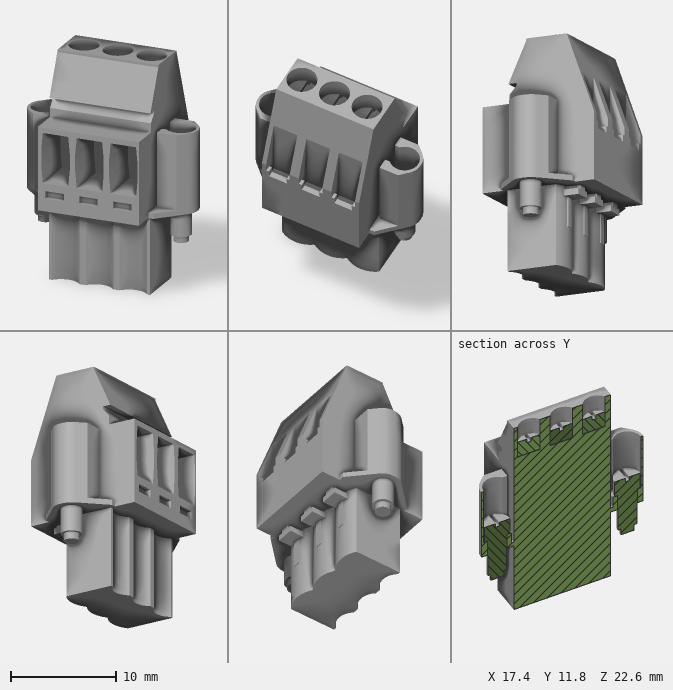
import cadquery as cq


POLE_COUNT = 3
PITCH = 3.5
POLE_CENTRES = [PITCH * (i - (POLE_COUNT - 1) / 2) for i in range(POLE_COUNT)]
SIDES = (-1, 1)
TERMINAL_SHIFT = 0.11

HALF_WIDTH = 5.22
FRONT_Y = -6.0
REAR_Y = 5.83
TOP_Z = 14.67
TOP_FRONT_Y = -1.35
TOP_REAR_Y = 2.94
TOP_LIP = 0.23
REAR_KNEE_Z = 6.7
SHELF_Z = 8.45
SHELF_REAR_Y = -3.1
GROOVE_Y = -2.4
GROOVE_LOW_Z = 9.38
GROOVE_MID_Z = 10.12
GROOVE_TOP_Z = 10.42
OVERHANG_Y = -3.23

ENTRY_LOW_Z = 2.82
ENTRY_HIGH_Z = 7.9
ENTRY_END_WIDTH = 2.62
ENTRY_MID_WIDTH = 2.98
ENTRY_DEPTH = 4.52
WINDOW_WIDTH = 1.95
WINDOW_LOW_Z = 1.29
WINDOW_HIGH_Z = 2.05
WINDOW_DEPTH = 0.55

POCKET_WIDTH = 2.53
POCKET_DEPTH = 1.54
POCKET_FLOOR_Z = 4.52
SILL_THICKNESS = 0.59
SILL_Z = 5.88
SILL_GAP_WIDTH = 1.9
SILL_GAP_Z = 5.2

PLUG_HEIGHT = 7.93
PLUG_FRONT_Y = -3.32
PLUG_REAR_Y = 2.33
LOBE_WIDTH = 2 * (HALF_WIDTH - PITCH)
LOBE_DEPTH = 0.55
SCALLOP_WIDTH = 2.85
SCALLOP_DEPTH = 0.68
RIB_WIDTH = 0.68
RIB_THICKNESS = 0.1
RIB_BOTTOM_Z = -3.89
LATCH_REAR_Y = 3.77
LATCH_NECK_WIDTH = 0.9
LATCH_NECK_HEIGHT = 0.38
LATCH_HOOK_WIDTH = 1.8
LATCH_HEIGHT = 1.0

FLANGE_END_X = 8.72
FLANGE_SCREW_X = 2 * PITCH
FLANGE_HALF_LENGTH = 3.77
FLANGE_TIP_HALF_LENGTH = 0.8
FLANGE_TIP_RADIUS = 1.63
PLATE_THICKNESS = 0.55
TOWER_INNER_X = 5.42
TOWER_HALF_LENGTH = 2.1
TOWER_HEIGHT = 8.14
FLANGE_BORE_RADIUS = 1.45
TOWER_SLOT_WIDTH = 1.97
FLANGE_SEAT_Z = 1.8

TERMINAL_SCREW_Y = 0.8
TERMINAL_SCREW_RADIUS = 1.47
TERMINAL_SCREW_TOP_Z = 12.8
TERMINAL_SCREW_HEIGHT = 1.8
DRIVER_SLOT_WIDTH = 0.38
DRIVER_SLOT_DEPTH = 0.45
FLANGE_HEAD_RADIUS = 1.4
FLANGE_HEAD_HEIGHT = 1.8
SHANK_RADIUS = 1.05
SHANK_BOTTOM_Z = -2.58
SCREW_TIP_RADIUS = 0.75
SCREW_TIP_Z = -3.28


def block(x_range, y_range, z_range):
    """Box between two limits along each axis."""
    (x0, x1), (y0, y1), (z0, z1) = x_range, y_range, z_range
    return cq.Workplane("XY").box(x1 - x0, y1 - y0, z1 - z0, centered=False).translate((x0, y0, z0))


def pole_block(x, width, y_range, z_range):
    """Box centred on x along X."""
    return block((x - width / 2, x + width / 2), y_range, z_range)


def upright_cylinder(x, y, radius, z0, z1):
    return cq.Workplane("XY", origin=(x, y, z0)).circle(radius).extrude(z1 - z0)


def housing_block():
    """Constant side profile swept over the full width."""
    profile = [
        (FRONT_Y, 0),
        (FRONT_Y, SHELF_Z),
        (SHELF_REAR_Y, SHELF_Z),
        (SHELF_REAR_Y, GROOVE_LOW_Z),
        (GROOVE_Y, GROOVE_MID_Z),
        (GROOVE_Y, GROOVE_TOP_Z),
        (OVERHANG_Y, GROOVE_TOP_Z),
        (TOP_FRONT_Y, TOP_Z - TOP_LIP),
        (TOP_FRONT_Y, TOP_Z),
        (TOP_REAR_Y, TOP_Z),
        (REAR_Y, REAR_KNEE_Z),
        (REAR_Y, 0),
    ]
    return cq.Workplane("YZ").polyline(profile).close().extrude(HALF_WIDTH, both=True)


def wire_entry(x):
    """Blind opening in the front face with bowed sides."""
    end, mid = ENTRY_END_WIDTH / 2, ENTRY_MID_WIDTH / 2
    mid_z = (ENTRY_LOW_Z + ENTRY_HIGH_Z) / 2
    return (
        cq.Workplane("XZ", origin=(x, FRONT_Y, 0))
        .moveTo(-end, ENTRY_LOW_Z)
        .lineTo(end, ENTRY_LOW_Z)
        .threePointArc((mid, mid_z), (end, ENTRY_HIGH_Z))
        .lineTo(-end, ENTRY_HIGH_Z)
        .threePointArc((-mid, mid_z), (-end, ENTRY_LOW_Z))
        .close()
        .extrude(-ENTRY_DEPTH)
    )


def window(x):
    return pole_block(x, WINDOW_WIDTH, (FRONT_Y, FRONT_Y + WINDOW_DEPTH), (WINDOW_LOW_Z, WINDOW_HIGH_Z))


def rear_pocket(x):
    """Pocket sunk into the rear slope, leaving a low notched sill at the rear face."""
    sill_y = REAR_Y - SILL_THICKNESS
    well = pole_block(x, POCKET_WIDTH, (REAR_Y - POCKET_DEPTH, sill_y), (POCKET_FLOOR_Z, TOP_Z))
    above_sill = pole_block(x, POCKET_WIDTH, (sill_y, REAR_Y), (SILL_Z, TOP_Z))
    sill_gap = pole_block(x, SILL_GAP_WIDTH, (sill_y, REAR_Y), (SILL_GAP_Z, TOP_Z))
    return well.union(above_sill).union(sill_gap)


def plug_arc_column(x, base_y, width, rise):
    """Full-height plug column whose section is a circular segment rising toward +Y from base_y."""
    half = width / 2
    return (
        cq.Workplane("XY", origin=(x, base_y, -PLUG_HEIGHT))
        .moveTo(-half, 0)
        .threePointArc((0, rise), (half, 0))
        .close()
        .extrude(PLUG_HEIGHT)
    )


def rear_rib_and_latch(x):
    """Short rib on the crown of a lobe, with a T-shaped latch above it."""
    root_y = PLUG_REAR_Y - LOBE_DEPTH
    rib = pole_block(x, RIB_WIDTH, (root_y, PLUG_REAR_Y + RIB_THICKNESS), (RIB_BOTTOM_Z, 0))
    neck = pole_block(x, LATCH_NECK_WIDTH, (root_y, LATCH_REAR_Y), (-LATCH_NECK_HEIGHT, 0))
    hook = pole_block(x, LATCH_HOOK_WIDTH, (root_y, LATCH_REAR_Y), (-LATCH_HEIGHT, -LATCH_NECK_HEIGHT))
    return rib.union(neck).union(hook)


def plug():
    """Lower plug with a front scallop, a rear lobe and a latch for every pole."""
    lobe_base_y = PLUG_REAR_Y - LOBE_DEPTH
    body = block((-HALF_WIDTH, HALF_WIDTH), (PLUG_FRONT_Y, lobe_base_y), (-PLUG_HEIGHT, 0))
    for x in POLE_CENTRES:
        body = body.cut(plug_arc_column(x, PLUG_FRONT_Y, SCALLOP_WIDTH, SCALLOP_DEPTH))
        body = body.union(plug_arc_column(x, lobe_base_y, LOBE_WIDTH, LOBE_DEPTH))
        body = body.union(rear_rib_and_latch(x))
    return body


def flange(side):
    """Plate with a slotted tower; only the screw shank passes below the seat in the tower."""
    corner_x = FLANGE_END_X - (FLANGE_HALF_LENGTH - FLANGE_TIP_HALF_LENGTH)
    outline = [
        (HALF_WIDTH, -FLANGE_HALF_LENGTH),
        (corner_x, -FLANGE_HALF_LENGTH),
        (FLANGE_END_X, -FLANGE_TIP_HALF_LENGTH),
        (FLANGE_END_X, FLANGE_TIP_HALF_LENGTH),
        (corner_x, FLANGE_HALF_LENGTH),
        (HALF_WIDTH, FLANGE_HALF_LENGTH),
    ]
    body = cq.Workplane("XY").polyline(outline).close().extrude(TOWER_HEIGHT)
    body = body.edges("|Z and >X").fillet(FLANGE_TIP_RADIUS)
    plate = block(
        (HALF_WIDTH, FLANGE_END_X), (-FLANGE_HALF_LENGTH, FLANGE_HALF_LENGTH), (0, PLATE_THICKNESS)
    )
    tower = block(
        (TOWER_INNER_X, FLANGE_END_X), (-TOWER_HALF_LENGTH, TOWER_HALF_LENGTH), (0, TOWER_HEIGHT)
    )
    slot = block(
        (TOWER_INNER_X, FLANGE_SCREW_X),
        (-TOWER_SLOT_WIDTH / 2, TOWER_SLOT_WIDTH / 2),
        (FLANGE_SEAT_Z, TOWER_HEIGHT),
    )
    body = body.intersect(plate.union(tower)).cut(slot)
    body = body.cut(upright_cylinder(FLANGE_SCREW_X, 0, FLANGE_BORE_RADIUS, FLANGE_SEAT_Z, TOWER_HEIGHT))
    body = body.cut(upright_cylinder(FLANGE_SCREW_X, 0, SHANK_RADIUS, 0, FLANGE_SEAT_Z))
    return body if side > 0 else body.mirror("YZ")


def driver_slot(x, y, length, top_z):
    return pole_block(
        x, DRIVER_SLOT_WIDTH, (y - length / 2, y + length / 2), (top_z - DRIVER_SLOT_DEPTH, top_z)
    )


def make_housing():
    body = housing_block().union(plug())
    screw_seat_z = TERMINAL_SCREW_TOP_Z - TERMINAL_SCREW_HEIGHT
    for x in POLE_CENTRES:
        terminal_x = x + TERMINAL_SHIFT
        body = body.cut(wire_entry(terminal_x)).cut(window(x)).cut(rear_pocket(x))
        bore = upright_cylinder(terminal_x, TERMINAL_SCREW_Y, TERMINAL_SCREW_RADIUS, screw_seat_z, TOP_Z)
        body = body.cut(bore)
    for side in SIDES:
        body = body.union(flange(side))
    return body


def make_terminal_screw(x):
    """Slotted screw head filling the lower part of its bore."""
    top_z = TERMINAL_SCREW_TOP_Z
    head = upright_cylinder(
        x, TERMINAL_SCREW_Y, TERMINAL_SCREW_RADIUS, top_z - TERMINAL_SCREW_HEIGHT, top_z
    )
    return head.cut(driver_slot(x, TERMINAL_SCREW_Y, 2 * TERMINAL_SCREW_RADIUS, top_z))


def make_flange_screw(x):
    """Slotted head resting on the tower seat, with a shank and a thinner tip below."""
    top_z = FLANGE_SEAT_Z + FLANGE_HEAD_HEIGHT
    head = upright_cylinder(x, 0, FLANGE_HEAD_RADIUS, FLANGE_SEAT_Z, top_z)
    shank = upright_cylinder(x, 0, SHANK_RADIUS, SHANK_BOTTOM_Z, FLANGE_SEAT_Z)
    tip = upright_cylinder(x, 0, SCREW_TIP_RADIUS, SCREW_TIP_Z, SHANK_BOTTOM_Z)
    return head.union(shank).union(tip).cut(driver_slot(x, 0, 2 * FLANGE_HEAD_RADIUS, top_z))


housing = make_housing()
terminal_screws = [make_terminal_screw(x + TERMINAL_SHIFT) for x in POLE_CENTRES]
flange_screws = [make_flange_screw(side * FLANGE_SCREW_X) for side in SIDES]

result = cq.Compound.makeCompound(
    [housing.val(), *[s.val() for s in terminal_screws], *[s.val() for s in flange_screws]]
)